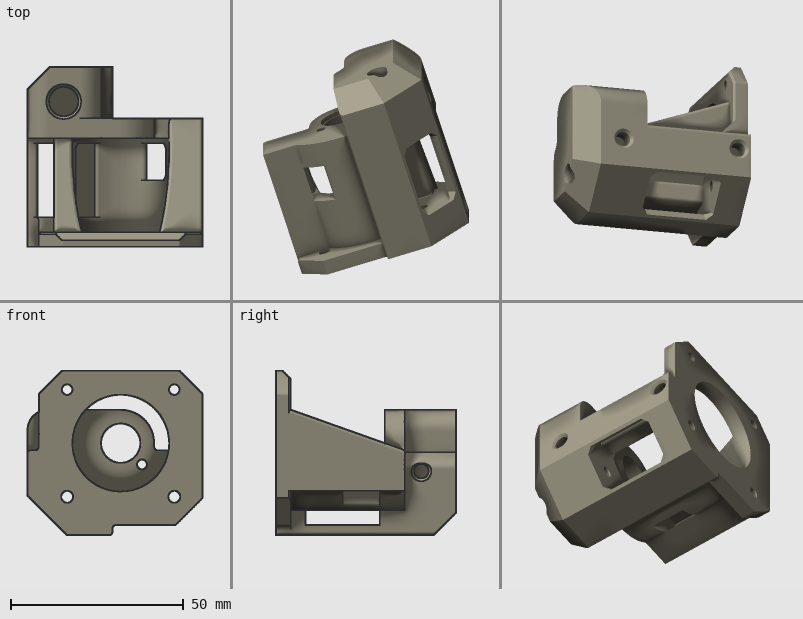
import cadquery as cq
import math


LEFT = -27.0
RIGHT = 23.7
TOP = 21.0
BOTTOM = -26.6
LENGTH = 52.12

FLANGE_THICKNESS = 4.3
FLANGE_LEFT = -RIGHT
FLANGE_BOTTOM = -RIGHT
FLANGE_TOP_CHAMFER = 6.7
FLANGE_LOW_CHAMFER = 7.85
FLANGE_BACK_CHAMFER = 2.4
FLANGE_EDGE_BREAK = 0.6
MOTOR_SCREW_PITCH = 31.0
UPPER_SCREW_DIA = 3.0
LOWER_SCREW_DIA = 3.4
SCREW_HEAD_DIA = 5.9
SCREW_HEAD_DEPTH = 4.0

BORE_RADIUS = 14.0
RIB_TOP = 9.7
SMALL_RADIUS = 1.0

LEDGE_Z = -2.0
RIB_LEFT = -19.35
SLEEVE_RADIUS = math.hypot(RIB_LEFT, LEDGE_Z)
BOX_RIGHT = -2.35
BEVEL = 11.4
BOX_WALL = 3.0
POCKET_FRONT = 8.6
POCKET_BACK = 30.0
WINDOW_WIDTH = 14.1
WINDOW_CORNER = 1.8

SLEEVE_WINDOW_X = 7.57
SLEEVE_WINDOW_Z = -6.3
SLEEVE_WINDOW_CORNER = 1.2
RIGHT_WINDOW_FRONT = 19.3

WALL_FRONT = 31.45
WALL_BACK = 37.2
WALL_RADIUS = RIB_TOP
BLOCK_RADIUS = 6.0
REAR_CHAMFER = 6.5
SHAFT_HOLE_DIA = 11.3
SHAFT_CLEARANCE_RADIUS = 6.2
SHAFT_RECESS_DEPTH = 1.2
CLEARANCE_LIP_RADIUS = 3.0
PIN_DIA = 2.8
PIN_OFFSET = 6.15

SOCKET_X = -16.5
SOCKET_Y = 42.05
SOCKET_DIA = 8.5
SOCKET_RIM_DIA = 10.1
SOCKET_DEPTH = 22.0
INSERT_DIA = 4.2
INSERT_RIM_DIA = 5.8
INSERT_DEPTH = 6.0
INSERT_Z = -6.9
INSERT_YS = (3.7, 38.6)
CROSS_INSERT_Z = -8.1

OVERCUT = 1.0
TOUCH = 0.05
RIB_EDGE_REACH = 3.0
DIAGONAL = math.sqrt(0.5)


def at_y(y):
    """XZ plane at the given Y; extrude with a negative length to go towards +Y."""
    return cq.Workplane("XZ", origin=(0, y, 0))


def prism(points, y_start, y_end):
    """Straight-sided XZ outline extruded from y_start to y_end."""
    return at_y(y_start).polyline(points).close().extrude(y_start - y_end)


def block(x_start, x_end, y_start, y_end, z_start, z_end):
    """Axis-aligned box given by its limits."""
    size = (x_end - x_start, y_end - y_start, z_end - z_start)
    return cq.Workplane("XY", origin=(x_start, y_start, z_start)).box(*size, centered=False)


def bar(x, z, diameter, y_start, y_end):
    """Cylinder along Y."""
    return at_y(y_start).center(x, z).circle(diameter / 2).extrude(y_start - y_end)


def round_edges(solid, corners, radius):
    """Round the Y-direction edges of a prism that pass through the given XZ corners."""
    for x, z in corners:
        low = (x - TOUCH, -OVERCUT, z - TOUCH)
        high = (x + TOUCH, LENGTH + OVERCUT, z + TOUCH)
        solid = solid.edges(cq.selectors.BoxSelector(low, high)).fillet(radius)
    return solid


def rimmed_hole(start, direction, diameter, rim_diameter, depth):
    """Blind hole with a 45 degree chamfer at its mouth."""
    start = cq.Vector(*start)
    direction = cq.Vector(*direction)
    rim = (rim_diameter - diameter) / 2
    outside = start - direction * rim
    hole = cq.Solid.makeCylinder(diameter / 2, depth + rim, outside, direction)
    mouth = cq.Solid.makeCone(rim_diameter / 2 + rim, diameter / 2, 2 * rim, outside, direction)
    return cq.Workplane(hole).union(cq.Workplane(mouth))


def flange_outline(thickness):
    """Motor flange outline joined to the front of the left box."""
    top_left = [
        (FLANGE_LEFT, TOP - FLANGE_TOP_CHAMFER),
        (FLANGE_LEFT + FLANGE_TOP_CHAMFER, TOP),
    ]
    top_right = [(-x, z) for x, z in reversed(top_left)]
    inner_corner = (FLANGE_LEFT, LEDGE_Z)
    ledge_edge = (LEFT, LEDGE_Z)
    foot_corner = (BOX_RIGHT, BOTTOM)
    step_corner = (BOX_RIGHT, FLANGE_BOTTOM)
    outline = [
        ledge_edge,
        inner_corner,
        *top_left,
        *top_right,
        (RIGHT, FLANGE_BOTTOM + FLANGE_LOW_CHAMFER),
        (RIGHT - FLANGE_LOW_CHAMFER, FLANGE_BOTTOM),
        step_corner,
        foot_corner,
        (LEFT + BEVEL, BOTTOM),
        (LEFT, BOTTOM + BEVEL),
    ]
    rounded = [ledge_edge, inner_corner, *top_left, *top_right, step_corner, foot_corner]
    return round_edges(prism(outline, 0, thickness), rounded, SMALL_RADIUS)


def flange():
    """Motor flange with a sloped upper back edge and broken edges on its sides."""
    plate = flange_outline(FLANGE_THICKNESS)
    side_low = (FLANGE_LEFT - TOUCH, FLANGE_THICKNESS - TOUCH, LEDGE_Z + SMALL_RADIUS)
    side_high = (RIGHT + TOUCH, FLANGE_THICKNESS + TOUCH, TOP - TOUCH)
    side_edges = cq.selectors.BoxSelector(side_low, side_high)
    plate = plate.edges(side_edges).chamfer(FLANGE_EDGE_BREAK)
    slope = (
        cq.Workplane("YZ", origin=(LEFT, 0, 0))
        .moveTo(FLANGE_THICKNESS - FLANGE_BACK_CHAMFER, TOP)
        .lineTo(FLANGE_THICKNESS + OVERCUT, TOP - FLANGE_BACK_CHAMFER - OVERCUT)
        .lineTo(FLANGE_THICKNESS + OVERCUT, TOP)
        .close()
        .extrude(RIGHT - LEFT)
    )
    return plate.cut(slope)


def flange_gusset():
    """45 degree fillet block between the flange back and the ledge of the left box."""
    rise = POCKET_FRONT - FLANGE_THICKNESS
    wedge = (
        cq.Workplane("YZ", origin=(LEFT, 0, 0))
        .moveTo(0, LEDGE_Z)
        .lineTo(POCKET_FRONT, LEDGE_Z)
        .lineTo(FLANGE_THICKNESS - FLANGE_EDGE_BREAK, LEDGE_Z + rise + FLANGE_EDGE_BREAK)
        .lineTo(0, LEDGE_Z + rise + FLANGE_EDGE_BREAK)
        .close()
        .extrude(RIB_LEFT + SMALL_RADIUS - LEFT)
    )
    return flange_outline(POCKET_FRONT).intersect(wedge)


def left_box():
    """Bevelled box along the lower left, up to the ledge."""
    ledge_edge = (LEFT, LEDGE_Z)
    foot_corner = (BOX_RIGHT, BOTTOM)
    outline = [
        ledge_edge,
        (BOX_RIGHT, LEDGE_Z),
        foot_corner,
        (LEFT + BEVEL, BOTTOM),
        (LEFT, BOTTOM + BEVEL),
    ]
    return round_edges(prism(outline, 0, WALL_FRONT), [ledge_edge, foot_corner], SMALL_RADIUS)


def sleeve_solid():
    """Solid U-shaped sleeve with the right-hand body, topped by ribs that slope down to the wall."""
    sleeve = (
        at_y(0)
        .moveTo(RIB_LEFT, RIB_TOP)
        .lineTo(RIB_LEFT, LEDGE_Z)
        .threePointArc((0, -SLEEVE_RADIUS), (SLEEVE_RADIUS, 0))
        .lineTo(SLEEVE_RADIUS, RIB_TOP)
        .close()
        .extrude(-WALL_BACK)
    )
    body_bottom = -SLEEVE_RADIUS * DIAGONAL
    right_body = prism(
        [
            (0, RIB_TOP),
            (RIGHT, RIB_TOP),
            (RIGHT, body_bottom),
            (0, body_bottom),
        ],
        0,
        WALL_BACK,
    )
    body = sleeve.union(right_body)
    rib_slope = (
        cq.Workplane("YZ", origin=(LEFT, 0, 0))
        .moveTo(FLANGE_THICKNESS, RIB_TOP)
        .lineTo(WALL_BACK, LEDGE_Z)
        .lineTo(WALL_BACK, RIB_TOP)
        .close()
        .extrude(RIGHT - LEFT)
    )
    body = body.cut(rib_slope).cut(bar(0, 0, 2 * BORE_RADIUS, 0, WALL_BACK))
    middle_y = (FLANGE_THICKNESS + WALL_BACK) / 2
    middle_z = (RIB_TOP + LEDGE_Z) / 2
    rib_edges = cq.selectors.BoxSelector(
        (LEFT, middle_y - RIB_EDGE_REACH, middle_z - RIB_EDGE_REACH),
        (RIGHT + OVERCUT, middle_y + RIB_EDGE_REACH, middle_z + RIB_EDGE_REACH),
    )
    return body.edges(rib_edges).fillet(SMALL_RADIUS)


def pocket():
    """Square-cornered space between the box walls and the sleeve; it breaks out through the bevel."""
    inner_left = LEFT + BOX_WALL
    floor = BOTTOM + BOX_WALL
    arc_middle = SMALL_RADIUS * (1 - DIAGONAL)
    space = (
        at_y(POCKET_FRONT)
        .moveTo(inner_left - SMALL_RADIUS, LEDGE_Z)
        .threePointArc(
            (inner_left - arc_middle, LEDGE_Z - arc_middle),
            (inner_left, LEDGE_Z - SMALL_RADIUS),
        )
        .lineTo(inner_left, floor)
        .lineTo(0, floor)
        .lineTo(0, LEDGE_Z)
        .close()
        .extrude(POCKET_FRONT - POCKET_BACK)
    )
    sleeve = bar(0, 0, 2 * SLEEVE_RADIUS, POCKET_FRONT, POCKET_BACK)
    return space.cut(sleeve)


def bevel_window():
    """Opening through the lower left bevel, square to it, with cut corners."""
    plane = cq.Plane(
        origin=(LEFT + BEVEL / 2, (POCKET_FRONT + POCKET_BACK) / 2, BOTTOM + BEVEL / 2),
        xDir=(0, 1, 0),
        normal=(1, 0, 1),
    )
    opening = cq.Workplane(plane).rect(POCKET_BACK - POCKET_FRONT, WINDOW_WIDTH)
    return opening.extrude(BOX_WALL + OVERCUT).edges("(1, 0, 1)").chamfer(WINDOW_CORNER)


def sleeve_window(y_start, y_end):
    """Opening through the lower left of the sleeve with rounded jambs and cut upper corners."""
    ring = bar(0, 0, 2 * SLEEVE_RADIUS, y_start, y_end).cut(bar(0, 0, 2 * BORE_RADIUS, y_start, y_end))
    reach = SLEEVE_RADIUS + OVERCUT
    opening = block(-reach, -SLEEVE_WINDOW_X, y_start, y_end, -reach, SLEEVE_WINDOW_Z)
    jamb_corners = []
    for radius in (BORE_RADIUS, SLEEVE_RADIUS):
        jamb_corners.append((-SLEEVE_WINDOW_X, -math.sqrt(radius**2 - SLEEVE_WINDOW_X**2)))
        jamb_corners.append((-math.sqrt(radius**2 - SLEEVE_WINDOW_Z**2), SLEEVE_WINDOW_Z))
    removed = ring.cut(round_edges(ring.cut(opening), jamb_corners, SMALL_RADIUS))
    corner_top = SLEEVE_WINDOW_Z + SMALL_RADIUS
    limit = block(-reach, 0, y_start, y_end, -reach, corner_top + SLEEVE_WINDOW_CORNER)
    limit = limit.edges("|X and >Z").chamfer(2 * SLEEVE_WINDOW_CORNER)
    return removed.intersect(limit)


def shaft_wall():
    """Wall across the bore with a large round at its upper right and a small one at its foot."""
    foot_z = LEDGE_Z - OVERCUT
    upper = (
        at_y(WALL_FRONT)
        .moveTo(LEFT + BLOCK_RADIUS, RIB_TOP)
        .lineTo(0, RIB_TOP)
        .threePointArc((WALL_RADIUS * DIAGONAL, WALL_RADIUS * DIAGONAL), (WALL_RADIUS, 0))
        .lineTo(WALL_RADIUS, LEDGE_Z + SMALL_RADIUS)
        .radiusArc((WALL_RADIUS + SMALL_RADIUS, LEDGE_Z), -SMALL_RADIUS)
        .lineTo(WALL_RADIUS + SMALL_RADIUS, foot_z)
        .lineTo(LEFT, foot_z)
        .lineTo(LEFT, RIB_TOP - BLOCK_RADIUS)
        .radiusArc((LEFT + BLOCK_RADIUS, RIB_TOP), BLOCK_RADIUS)
        .close()
        .extrude(WALL_FRONT - WALL_BACK)
    )
    lower = bar(0, 0, 2 * SLEEVE_RADIUS, WALL_FRONT, WALL_BACK)
    lower = lower.intersect(block(LEFT, RIGHT, WALL_FRONT, WALL_BACK, -SLEEVE_RADIUS, LEDGE_Z))
    return upper.union(lower)


def rear_block():
    """Block behind the left box, chamfered around its lower back edges."""
    blank = prism(
        [
            (LEFT, RIB_TOP),
            (BOX_RIGHT, RIB_TOP),
            (BOX_RIGHT, BOTTOM),
            (LEFT + BEVEL, BOTTOM),
            (LEFT, BOTTOM + BEVEL),
        ],
        WALL_FRONT,
        LENGTH,
    )
    back_edges = cq.selectors.BoxSelector(
        (LEFT - TOUCH, LENGTH - TOUCH, BOTTOM - TOUCH),
        (BOX_RIGHT - TOUCH, LENGTH + TOUCH, RIB_TOP - TOUCH),
    )
    blank = blank.edges(back_edges).chamfer(REAR_CHAMFER)
    upper_right = -SHAFT_HOLE_DIA / 2
    clearance_z = -math.sqrt(SHAFT_CLEARANCE_RADIUS**2 - upper_right**2)
    lip_reach = SHAFT_CLEARANCE_RADIUS + CLEARANCE_LIP_RADIUS
    lip_x = BOX_RIGHT - CLEARANCE_LIP_RADIUS
    lip_z = -math.sqrt(lip_reach**2 - lip_x**2)
    lip_tip = SHAFT_CLEARANCE_RADIUS / lip_reach
    profile = (
        at_y(WALL_FRONT)
        .moveTo(LEFT + BLOCK_RADIUS, RIB_TOP)
        .lineTo(upper_right - BLOCK_RADIUS, RIB_TOP)
        .radiusArc((upper_right, RIB_TOP - BLOCK_RADIUS), BLOCK_RADIUS)
        .lineTo(upper_right, clearance_z)
        .radiusArc((lip_x * lip_tip, lip_z * lip_tip), -SHAFT_CLEARANCE_RADIUS)
        .radiusArc((BOX_RIGHT, lip_z), CLEARANCE_LIP_RADIUS)
        .lineTo(BOX_RIGHT, BOTTOM + SMALL_RADIUS)
        .radiusArc((BOX_RIGHT - SMALL_RADIUS, BOTTOM), SMALL_RADIUS)
        .lineTo(LEFT, BOTTOM)
        .lineTo(LEFT, RIB_TOP - BLOCK_RADIUS)
        .radiusArc((LEFT + BLOCK_RADIUS, RIB_TOP), BLOCK_RADIUS)
        .close()
        .extrude(WALL_FRONT - LENGTH)
    )
    return blank.intersect(profile)


def cut_holes(body):
    """Motor screws, shaft hole, pin hole, vertical socket and insert holes."""
    offset = MOTOR_SCREW_PITCH / 2
    for x in (-offset, offset):
        body = body.cut(bar(x, offset, UPPER_SCREW_DIA, 0, FLANGE_THICKNESS))
        body = body.cut(bar(x, -offset, LOWER_SCREW_DIA, 0, LENGTH))
    body = body.cut(bar(-offset, -offset, SCREW_HEAD_DIA, LENGTH - SCREW_HEAD_DEPTH, LENGTH))
    body = body.cut(bar(0, 0, SHAFT_HOLE_DIA, WALL_FRONT, WALL_BACK))
    recess_start = WALL_BACK - SHAFT_RECESS_DEPTH
    body = body.cut(bar(0, 0, 2 * SHAFT_CLEARANCE_RADIUS, recess_start, WALL_BACK))
    body = body.cut(bar(PIN_OFFSET, -PIN_OFFSET, PIN_DIA, WALL_FRONT, WALL_BACK))
    socket = (SOCKET_X, SOCKET_Y, RIB_TOP)
    body = body.cut(rimmed_hole(socket, (0, 0, -1), SOCKET_DIA, SOCKET_RIM_DIA, SOCKET_DEPTH))
    for y in INSERT_YS:
        side = (LEFT, y, INSERT_Z)
        body = body.cut(rimmed_hole(side, (1, 0, 0), INSERT_DIA, INSERT_RIM_DIA, INSERT_DEPTH))
    cross = (BOX_RIGHT, SOCKET_Y, CROSS_INSERT_Z)
    cross_depth = BOX_RIGHT - SOCKET_X
    return body.cut(rimmed_hole(cross, (-1, 0, 0), INSERT_DIA, INSERT_RIM_DIA, cross_depth))


def bracket():
    """The complete bracket."""
    bore = bar(0, 0, 2 * BORE_RADIUS, 0, WALL_FRONT)
    left_window = sleeve_window(POCKET_FRONT, POCKET_BACK)
    right_window = sleeve_window(RIGHT_WINDOW_FRONT, POCKET_BACK).mirror("YZ")
    body = left_box().cut(pocket()).cut(bevel_window())
    body = body.union(flange()).union(flange_gusset()).cut(bore)
    body = body.union(sleeve_solid())
    body = body.cut(left_window).cut(right_window)
    body = body.union(shaft_wall()).union(rear_block())
    return cut_holes(body)


result = bracket()